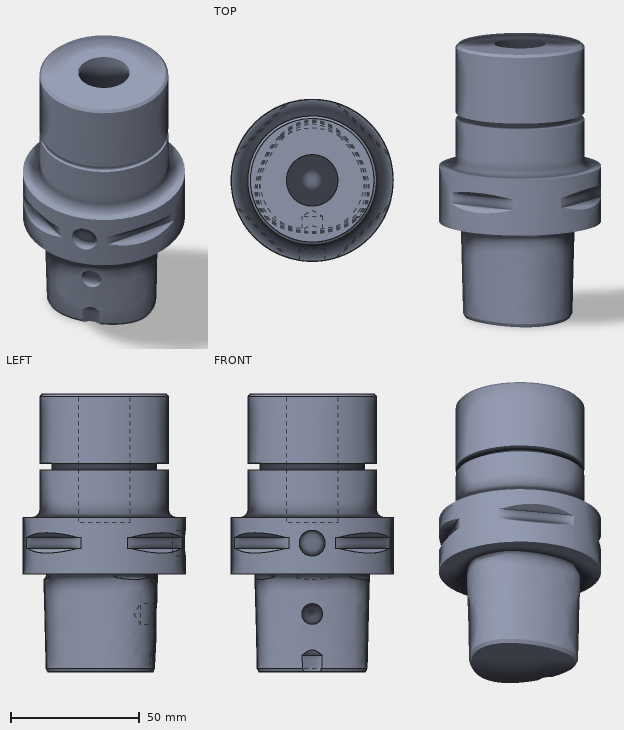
import cadquery as cq
import math


flange_diameter = 63.0
flange_height = 22.0
body_diameter = 50.0
body_top = 70.0
neck_fillet = 3.0
top_chamfer = 1.0
groove_diameter = 40.6
groove_bottom = 40.5
groove_width = 2.5
bore_diameter = 20.0
bore_depth = 50.0

notch_count = 4
notch_first_angle = 45.0
notch_floor_distance = 27.7
notch_floor_height = 4.2
notch_center_z = 12.1
notch_side_angle = 30.0
notch_straight_depth = 0.6
rim_hole_diameter = 10.0
rim_hole_depth = 5.0
rim_hole_z = 12.0

shank_length = 38.0
shank_mean_radius = 22.0
lobe_height = 1.4
shank_straight = 3.0
taper_rate = 1 / 40
end_chamfer_height = 1.4
end_chamfer_width = 0.75
relief_diameter = 45.0
relief_height = 0.8
relief_corner_radius = 1.0

shank_hole_diameter = 8.0
shank_hole_depth = 8.0
shank_hole_z = -15.5
shank_hole_point_angle = 118.0
key_slot_diameter = 10.0
key_slot_center_y = -22.8
key_slot_height = 6.4
key_slot_point_angle = 90.0


def lobed_wire(mean_radius, z):
    """Closed three-lobed outline, symmetric about Y, with one lobe toward +Y."""

    def point(t):
        angle = math.pi * (2 * t + 1)
        x = mean_radius * math.sin(angle) - lobe_height * math.sin(2 * angle)
        y = mean_radius * math.cos(angle) + lobe_height * math.cos(2 * angle)
        return (x, y, z)

    outline = cq.Workplane("XY").parametricCurve(point, N=120)
    return outline.val()


def shank_section(radius_upper, z_upper, radius_lower, z_lower):
    """Ruled solid between two lobed outlines."""
    wires = [lobed_wire(radius_lower, z_lower), lobed_wire(radius_upper, z_upper)]
    return cq.Workplane(cq.Solid.makeLoft(wires, True))


def make_body():
    """Flange and cylindrical body with its groove, neck fillet and blind bore."""
    flange_radius = flange_diameter / 2
    body_radius = body_diameter / 2
    groove_radius = groove_diameter / 2
    groove_top = groove_bottom + groove_width
    fillet_mid = neck_fillet * (1 - math.sqrt(0.5))
    profile = (
        cq.Workplane("XZ")
        .lineTo(flange_radius, 0)
        .lineTo(flange_radius, flange_height)
        .lineTo(body_radius + neck_fillet, flange_height)
        .threePointArc(
            (body_radius + fillet_mid, flange_height + fillet_mid),
            (body_radius, flange_height + neck_fillet),
        )
        .lineTo(body_radius, groove_bottom)
        .lineTo(groove_radius, groove_bottom)
        .lineTo(groove_radius, groove_top)
        .lineTo(body_radius, groove_top)
        .lineTo(body_radius, body_top - top_chamfer)
        .lineTo(body_radius - top_chamfer, body_top)
        .lineTo(0, body_top)
        .close()
    )
    body = profile.revolve(360, (0, 0, 0), (0, 1, 0))
    bore = (
        cq.Workplane("XY", origin=(0, 0, body_top - bore_depth))
        .circle(bore_diameter / 2)
        .extrude(bore_depth)
    )
    return body.cut(bore)


def make_notch(angle):
    """Straight tangential slot cutter whose side walls flare toward the flange rim."""
    flare_start = notch_floor_distance + notch_straight_depth
    outer = flange_diameter / 2
    floor_half = notch_floor_height / 2
    mouth_half = floor_half + (outer - flare_start) * math.tan(math.radians(notch_side_angle))
    notch = (
        cq.Workplane("XZ")
        .polyline(
            [
                (notch_floor_distance, notch_center_z - floor_half),
                (flare_start, notch_center_z - floor_half),
                (outer, notch_center_z - mouth_half),
                (outer, notch_center_z + mouth_half),
                (flare_start, notch_center_z + floor_half),
                (notch_floor_distance, notch_center_z + floor_half),
            ]
        )
        .close()
        .extrude(flange_diameter / 2, both=True)
    )
    return notch.rotate((0, 0, 0), (0, 0, 1), angle)


def make_relief():
    """Ring trimming the lobes below the flange, rounded into a 45 degree runout."""
    inner = relief_diameter / 2
    outer = shank_mean_radius + 2 * lobe_height
    arc_center_x = inner + relief_corner_radius

    def arc_point(degrees):
        turn = math.radians(degrees)
        x = arc_center_x - relief_corner_radius * math.cos(turn)
        z = -relief_height - relief_corner_radius * math.sin(turn)
        return (x, z)

    runout_x, runout_z = arc_point(45)
    ring = (
        cq.Workplane("XZ")
        .moveTo(inner, 0)
        .lineTo(inner, -relief_height)
        .threePointArc(arc_point(22.5), (runout_x, runout_z))
        .lineTo(outer, runout_z - (outer - runout_x))
        .lineTo(outer, 0)
        .close()
    )
    return ring.revolve(360, (0, 0, 0), (0, 1, 0))


def make_shank():
    """Straight collar, slow taper and end chamfer, all three-lobed."""
    chamfer_z = end_chamfer_height - shank_length
    taper_length = -shank_straight - chamfer_z
    end_radius = shank_mean_radius - taper_length * taper_rate
    tip_radius = end_radius - end_chamfer_width
    collar = shank_section(shank_mean_radius, 0, shank_mean_radius, -shank_straight)
    taper = shank_section(shank_mean_radius, -shank_straight, end_radius, chamfer_z)
    tip = shank_section(end_radius, chamfer_z, tip_radius, -shank_length)
    return collar.union(taper).union(tip).cut(make_relief())


def drill(diameter, length, point_angle):
    """Cylinder rising from the XY plane and ending in a drill point."""
    radius = diameter / 2
    point_length = radius / math.tan(math.radians(point_angle / 2))
    half_section = (
        cq.Workplane("XZ")
        .lineTo(radius, 0)
        .lineTo(radius, length)
        .lineTo(0, length + point_length)
        .close()
    )
    return half_section.revolve(360, (0, 0, 0), (0, 1, 0))


def make_rim_hole():
    """Flat-bottomed radial hole in the -Y side of the flange."""
    return (
        cq.Workplane("XZ", origin=(0, -flange_diameter / 2, rim_hole_z))
        .circle(rim_hole_diameter / 2)
        .extrude(-rim_hole_depth)
    )


def make_shank_hole():
    """Radial drilled hole in the -Y side of the shank."""
    cutter = drill(shank_hole_diameter, shank_hole_depth, shank_hole_point_angle)
    toward_axis = cutter.rotate((0, 0, 0), (1, 0, 0), -90)
    return toward_axis.translate((0, -shank_mean_radius, shank_hole_z))


def make_key_slot():
    """Shallow rounded axial slot opening at the shank's lower end."""
    cutter = drill(key_slot_diameter, key_slot_height, key_slot_point_angle)
    return cutter.translate((0, key_slot_center_y, -shank_length))


result = make_body().union(make_shank())
for index in range(notch_count):
    result = result.cut(make_notch(notch_first_angle + index * 360 / notch_count))
result = result.cut(make_rim_hole()).cut(make_shank_hole()).cut(make_key_slot())